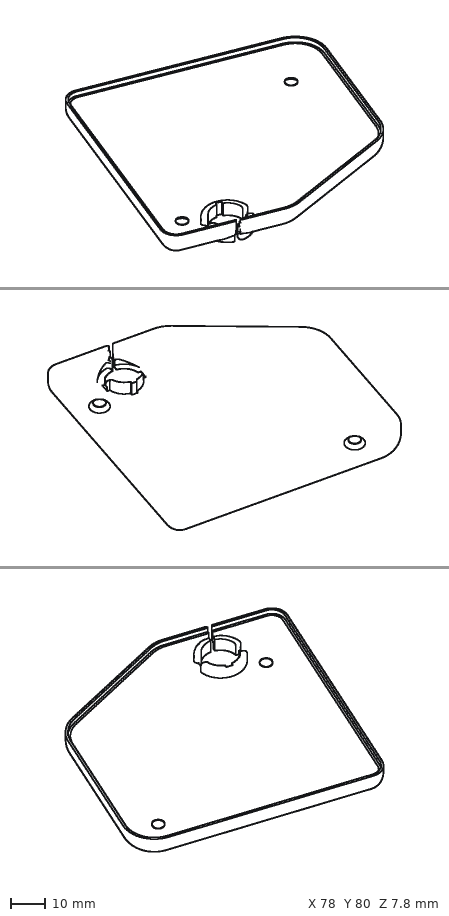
import cadquery as cq
import math

length_x = 78.0
length_y = 80.0
height = 7.8
wall = 1.4
cut_corner_y = 40.0
cut_corner_angle = 60.0
front_corner_radius = 5.0
back_corner_radius = 10.0
bottom_edge_radius = 5.0

lip = wall / 2
lip_depth = 1.5

hole_diameter = 3.8
hole_radius = hole_diameter / 2
hole_centers = [(12.7, 67.5), (63.4, 11.0)]
hole_land = 0.2
countersink_depth = wall - hole_land
countersink_radius = hole_radius + countersink_depth

collar_x = 69.6
collar_y = 22.7
collar_outer_radius = 7.8
collar_inner_radius = 5.7
collar_height = 4.5
collar_rounding = 1.0
collar_base_height = 2.7
side_gap = 2.9
inner_notch_width = 2.0
notch_reach = 6.4
entry_slot = 1.3
entry_rounding = 0.6


def nearest(x, y, z):
    return cq.selectors.NearestToPointSelector((x, y, z))


def tray_blank(inset, bottom, edge_radius):
    """Solid inside the tray outline moved inwards by inset, with a rounded lower edge."""
    depth = height - bottom
    cut_corner_x = length_x - (length_y - cut_corner_y) / math.tan(math.radians(cut_corner_angle))
    back_corners = [(length_x, cut_corner_y), (cut_corner_x, length_y), (0, length_y)]
    blank = (
        cq.Workplane("XY", origin=(0, 0, bottom))
        .polyline([(0, 0), (length_x, 0)] + back_corners)
        .close()
        .extrude(depth)
    )
    blank = blank.edges("|Z and <Y").fillet(front_corner_radius)
    for x, y in back_corners:
        blank = blank.edges("|Z").edges(nearest(x, y, bottom + depth / 2)).fillet(back_corner_radius)
    if inset > 0:
        inner_outline = blank.faces("<Z").wires().val().offset2D(-inset)
        blank = cq.Workplane("XY", origin=(0, 0, bottom)).add(inner_outline).toPending().extrude(depth)
    if edge_radius > 0:
        blank = blank.faces("<Z").edges().fillet(edge_radius)
    return blank


def collar_box(size_x, size_y, offset_x=0):
    """Box through the full height, its middle offset along X from the collar axis."""
    return (
        cq.Workplane("XY", origin=(collar_x + offset_x, collar_y, 0))
        .rect(size_x, size_y)
        .extrude(height)
    )


def collar_cylinder(radius, top):
    return cq.Workplane("XY", origin=(collar_x, collar_y, 0)).circle(radius).extrude(top)


bore = collar_cylinder(collar_inner_radius, height)
side_gaps = collar_box(side_gap, 2 * notch_reach)
inner_notch = collar_box(notch_reach, inner_notch_width, -notch_reach / 2)
slot_length = 2 * collar_outer_radius
slot = collar_box(slot_length, entry_slot, slot_length / 2)


def collar_halves(top):
    """Ring split by the two side gaps, with the outer corners of its ends rounded."""
    halves = collar_cylinder(collar_outer_radius, top).cut(bore)
    halves = halves.cut(collar_box(side_gap, 2 * collar_outer_radius))
    for side_x in (-1, 1):
        for side_y in (-1, 1):
            end_corner = nearest(
                collar_x + side_x * side_gap / 2,
                collar_y + side_y * collar_outer_radius,
                top / 2,
            )
            halves = halves.edges("|Z").edges(end_corner).fillet(collar_rounding)
    return halves


def collar():
    """Collar rounded along its top edge; its base is also rounded beside the entry slot."""
    ring = collar_halves(collar_height)
    for side_x in (-1, 1):
        outer_arc = nearest(collar_x + side_x * collar_outer_radius, collar_y, collar_height)
        ring = ring.faces(">Z").edges(outer_arc).fillet(collar_rounding)
    ring = ring.cut(slot).cut(collar_cylinder(collar_outer_radius, collar_base_height))
    base = collar_halves(collar_base_height).cut(slot)
    base = base.edges("|Z and >X").fillet(collar_rounding)
    return ring.union(base)


def slotted_tray():
    """Pan with its stepped rim, bored for the collar and slotted through the +X wall."""
    pan = tray_blank(0, 0, bottom_edge_radius)
    pan = pan.cut(tray_blank(wall, wall, bottom_edge_radius - wall))
    pan = pan.cut(tray_blank(lip, height - lip_depth, 0))
    pan = pan.cut(bore).cut(slot)
    for side_y in (-1, 1):
        wall_corner = nearest(
            length_x,
            collar_y + side_y * entry_slot / 2,
            (bottom_edge_radius + height) / 2,
        )
        pan = pan.edges("|Z").edges(wall_corner).fillet(entry_rounding)
    return pan


def screw_hole(x, y):
    """Cutter for one countersunk hole."""
    shaft = cq.Solid.makeCylinder(hole_radius, wall, cq.Vector(x, y, 0))
    countersink = cq.Solid.makeCone(
        countersink_radius,
        hole_radius,
        countersink_depth,
        cq.Vector(x, y, 0),
    )
    return shaft.fuse(countersink)


result = slotted_tray().union(collar()).cut(side_gaps).cut(inner_notch)
for x, y in hole_centers:
    result = result.cut(cq.Workplane(screw_hole(x, y)))